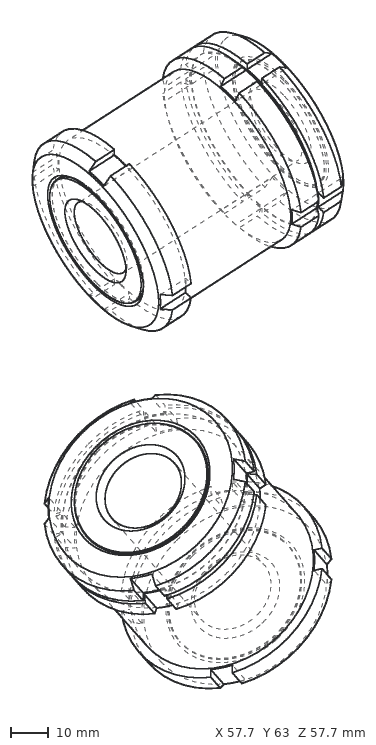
import cadquery as cq

length = 63.0
ring_radius = 58.0 / 2
body_radius = 52.7 / 2
ring_width = 9.0
front_ring_chamfer = ring_radius - body_radius
back_ring_chamfer = 2.85

back_ring_width = 8.8
back_ring_front = length - back_ring_width
locknut_back = length - ring_width
locknut_front = locknut_back - ring_width
locknut_chamfer = 1.45

slot_width = 6.2
slot_floor_radius = 26.7
slot_count = 4

bore_radius = 22.0 / 2
bore_chamfer = 1.75
sleeve_radius = 38.1 / 2
ring_bore_radius = 38.35 / 2
seam_depth = 0.75
seam_mouth_radius = ring_bore_radius + seam_depth


def revolve_about_y(points):
    """Turn a closed outline of (radius, Y) points about the Y axis."""
    return cq.Workplane("XY").polyline(points).close().revolve(360, (0, 0), (0, 1))


def outer_body():
    """Solid body with the front ring, the locknut and the back ring."""
    return revolve_about_y([
        (0, 0),
        (body_radius, 0),
        (ring_radius, front_ring_chamfer),
        (ring_radius, ring_width),
        (body_radius, ring_width),
        (body_radius, locknut_front),
        (ring_radius, locknut_front + locknut_chamfer),
        (ring_radius, locknut_back - locknut_chamfer),
        (body_radius, locknut_back),
        (body_radius, back_ring_front),
        (ring_radius, back_ring_front),
        (ring_radius, length - back_ring_chamfer),
        (body_radius, length),
        (0, length),
    ])


def bore():
    """Through bore with a chamfer at each end."""
    mouth_radius = bore_radius + bore_chamfer
    return revolve_about_y([
        (0, 0),
        (mouth_radius, 0),
        (bore_radius, bore_chamfer),
        (bore_radius, length - bore_chamfer),
        (mouth_radius, length),
        (0, length),
    ])


def front_seam():
    """Tapered groove between the sleeve and the front ring."""
    return revolve_about_y([
        (sleeve_radius, 0),
        (seam_mouth_radius, 0),
        (ring_bore_radius, seam_depth),
        (sleeve_radius, seam_depth),
    ])


def spanner_slots():
    """Slots with a round floor; the floor lies just outside the body surface."""
    slot_bars = cq.Workplane("XY")
    for index in range(slot_count):
        bar = (
            cq.Workplane("XY")
            .box(slot_width, length, ring_radius, centered=(True, False, False))
            .rotate((0, 0, 0), (0, 1, 0), index * 360 / slot_count)
        )
        slot_bars = slot_bars.union(bar)
    floor = cq.Workplane("XZ").circle(slot_floor_radius).extrude(-length)
    return slot_bars.cut(floor)


seam = front_seam()
back_seam = seam.mirror("XZ").translate((0, length, 0))
result = outer_body().cut(bore()).cut(seam).cut(back_seam).cut(spanner_slots())